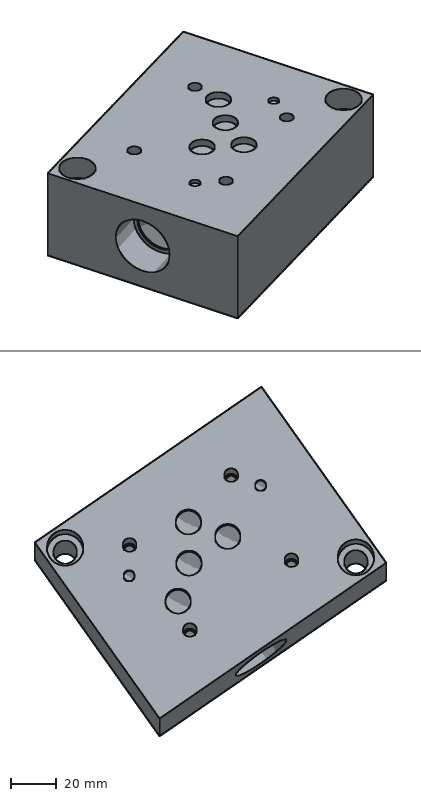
import cadquery as cq
import math

LENGTH_X = 95.2
LENGTH_Y = 120.6
HEIGHT = 44.4
TOP = HEIGHT / 2

DRILL_POINT_ANGLE = 118.0

MOUNT_EDGE_OFFSET = 9.5
MOUNT_DIAMETER = 10.3
MOUNT_BORE_DIAMETER = 15.9
MOUNT_BORE_DEPTH = 10.9

BOLT_SPACING_X = 46.0
BOLT_SPACING_Y = 54.0
BOLT_THREAD_DIAMETER = 6.0
BOLT_THREAD_DEPTH = 13.3
BOLT_DRILL_DIAMETER = 5.0
BOLT_DRILL_DEPTH = 15.7

PIN_X = 12.0
PIN_SPACING_Y = 70.0
PIN_DIAMETER = 4.8
PIN_DEPTH = 1.8

FLOW_CENTRES = [(-9.5, 23.9), (1.6, 10.4), (16.6, 0.1), (1.6, -10.3)]
FLOW_DIAMETER = 11.1
FLOW_DEPTH = 3.5

PORT_THREAD_DIAMETER = 26.9
PORT_THREAD_DEPTH = 15.8
PORT_BORE_DIAMETER = 23.0
PORT_A_BORE_DEPTH = 19.3
PORT_B_BORE_DEPTH = 16.6
PORT_A_Y = 6.3

PORT_A_DRILL_DIAMETER = 12.7
PORT_A_DRILL_DEPTH = 33.8

DOWN = cq.Vector(0, 0, -1)
INTO_X = cq.Vector(1, 0, 0)
INTO_Y = cq.Vector(0, 1, 0)


def flat_bore(position, direction, diameter, depth):
    """Flat-bottomed hole cutter."""
    return cq.Solid.makeCylinder(diameter / 2, depth, position, direction)


def drill(position, direction, diameter, depth):
    """Blind hole cutter: a cylinder of the given depth plus its drill-point cone."""
    radius = diameter / 2
    point_height = radius / math.tan(math.radians(DRILL_POINT_ANGLE / 2))
    point_base = position + direction * depth
    point = cq.Solid.makeCone(radius, 0, point_height, point_base, direction)
    return flat_bore(position, direction, diameter, depth).fuse(point)


def on_top(x, y):
    """Point on the top face."""
    return cq.Vector(x, y, TOP)


def mount_cutters():
    cutters = []
    for side in (-1, 1):
        x = side * (LENGTH_X / 2 - MOUNT_EDGE_OFFSET)
        y = side * (LENGTH_Y / 2 - MOUNT_EDGE_OFFSET)
        position = on_top(x, y)
        cutters.append(flat_bore(position, DOWN, MOUNT_DIAMETER, HEIGHT))
        cutters.append(flat_bore(position, DOWN, MOUNT_BORE_DIAMETER, MOUNT_BORE_DEPTH))
    return cutters


def bolt_cutters():
    cutters = []
    for side_x in (-1, 1):
        for side_y in (-1, 1):
            position = on_top(side_x * BOLT_SPACING_X / 2, side_y * BOLT_SPACING_Y / 2)
            cutters.append(flat_bore(position, DOWN, BOLT_THREAD_DIAMETER, BOLT_THREAD_DEPTH))
            cutters.append(drill(position, DOWN, BOLT_DRILL_DIAMETER, BOLT_DRILL_DEPTH))
    return cutters


def pin_cutters():
    pin_ys = (-PIN_SPACING_Y / 2, PIN_SPACING_Y / 2)
    return [drill(on_top(PIN_X, y), DOWN, PIN_DIAMETER, PIN_DEPTH) for y in pin_ys]


def flow_cutters():
    return [drill(on_top(x, y), DOWN, FLOW_DIAMETER, FLOW_DEPTH) for x, y in FLOW_CENTRES]


def port_cutters(position, direction, bore_depth):
    return [
        flat_bore(position, direction, PORT_THREAD_DIAMETER, PORT_THREAD_DEPTH),
        drill(position, direction, PORT_BORE_DIAMETER, bore_depth),
    ]


port_a = cq.Vector(-LENGTH_X / 2, PORT_A_Y, 0)
port_b = cq.Vector(0, -LENGTH_Y / 2, 0)

all_cutters = mount_cutters() + bolt_cutters() + pin_cutters() + flow_cutters()
all_cutters += port_cutters(port_a, INTO_X, PORT_A_BORE_DEPTH)
all_cutters += port_cutters(port_b, INTO_Y, PORT_B_BORE_DEPTH)
all_cutters.append(drill(port_a, INTO_X, PORT_A_DRILL_DIAMETER, PORT_A_DRILL_DEPTH))

result = cq.Workplane("XY").box(LENGTH_X, LENGTH_Y, HEIGHT)
for cutter in all_cutters:
    result = result.cut(cutter)